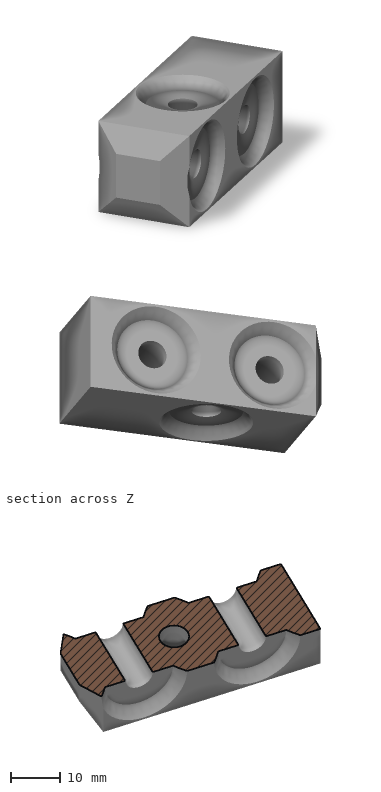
import cadquery as cq
import math

width = 20.0
body_length = 48.0
nose_length = 3.0
nose_half_angle = 60.0
nose_inset = nose_length * math.tan(math.radians(nose_half_angle))
tip_width = width - 2 * nose_inset

hole_diameter = 6.0
recess_mouth_diameter = 19.0
recess_floor_diameter = 15.0
recess_depth = 2.5
side_hole_positions = (9.0, 34.0)
top_hole_position = 20.0


def make_body():
    bar = cq.Workplane("XY").box(width, body_length, width, centered=(True, False, True))
    nose = (
        cq.Workplane("XZ")
        .rect(width, width)
        .workplane(offset=nose_length)
        .rect(tip_width, tip_width)
        .loft(ruled=True)
    )
    return bar.union(nose)


def make_hole_cutter():
    """Hole along Z, with its conical recesses, centred on the origin."""
    half_width = width / 2
    floor_height = half_width - recess_depth
    half_profile = [
        (0, -half_width),
        (recess_mouth_diameter / 2, -half_width),
        (recess_floor_diameter / 2, -floor_height),
        (hole_diameter / 2, -floor_height),
        (hole_diameter / 2, floor_height),
        (recess_floor_diameter / 2, floor_height),
        (recess_mouth_diameter / 2, half_width),
        (0, half_width),
    ]
    return cq.Workplane("XZ").polyline(half_profile).close().revolve(360, (0, 0, 0), (0, 1, 0))


hole_along_z = make_hole_cutter()
hole_along_x = hole_along_z.rotate((0, 0, 0), (0, 1, 0), 90)

result = make_body().cut(hole_along_z.translate((0, top_hole_position, 0)))
for position in side_hole_positions:
    result = result.cut(hole_along_x.translate((0, position, 0)))